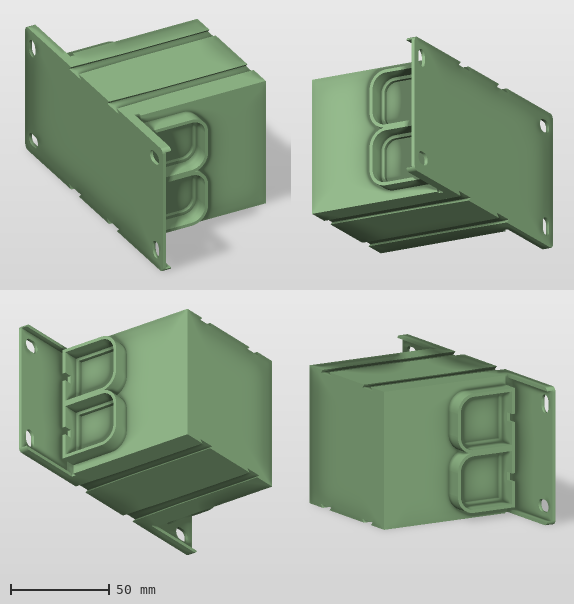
import cadquery as cq

plate_width = 145.0
plate_height = 72.0
plate_thickness = 1.7
plate_corner_radius = 2.5
lip_depth = 5.0
lip_thickness = 1.7

slot_length = 9.5
slot_width = 6.7
slot_side_margin = 3.9
slot_end_margin = 5.2

block_width = plate_height
block_height = plate_height
housing_depth = 80.0
neck_inset = 2.2
neck_end = 7.4
wall = 2.2

collar_projection = 9.1
collar_height = 31.3
collar_pitch = 31.0
collar_start = neck_end
collar_end = 41.5
collar_radius = 9.5
collar_wall = 1.7
window_ledge = 1.7
notch_width = 4.4
notch_depth = collar_projection / 2

groove_spacing = 40.0
groove_taper_start = 29.6
groove_floor_break = 9.1
groove_rear_opening = 6.5
groove_front_opening = 8.1
groove_rear_depth = 1.7
groove_break_depth = 2.0
groove_front_depth = 2.2

core_front = groove_floor_break
core_width = block_width - 2 * wall
core_height = block_height - 2 * wall
core_rear = housing_depth - wall


def box_from(width, height, y_start, y_end):
    """Box centred in X and Z that runs from y_start to y_end."""
    return cq.Workplane("XY").box(width, y_end - y_start, height).translate((0, (y_start + y_end) / 2, 0))


def make_plate():
    plate = box_from(plate_width, plate_height, 0, lip_depth).edges("|Y").fillet(plate_corner_radius)
    recess = box_from(plate_width, plate_height - 2 * lip_thickness, plate_thickness, lip_depth)
    return plate.cut(recess)


def make_block():
    neck = box_from(block_width - 2 * neck_inset, block_height, 0, neck_end)
    return neck.union(box_from(block_width, block_height, neck_end, housing_depth))


def slot_pair(x, z, angle):
    """Two slots through the sheet, placed opposite each other about the plate centre."""
    return (
        cq.Workplane("XZ")
        .pushPoints([(x, z), (-x, -z)])
        .slot2D(slot_length, slot_width, angle)
        .extrude(-plate_thickness)
    )


def mounting_slots():
    """Slots in the four corners: lengthwise on one diagonal, upright on the other."""
    side_x = plate_width / 2 - slot_side_margin
    end_z = plate_height / 2 - slot_end_margin
    lengthwise_x = side_x - slot_length / 2
    lengthwise_z = end_z - slot_width / 2
    upright_x = side_x - slot_width / 2
    upright_z = end_z - slot_length / 2
    lengthwise = slot_pair(lengthwise_x, lengthwise_z, 0)
    upright = slot_pair(-upright_x, upright_z, 90)
    return lengthwise.union(upright)


def collar_prism(inset, x_start, x_end, z_center):
    """Prism along X with the collar outline shrunk by inset, rounded on its two rear edges."""
    depth = collar_end - collar_start - 2 * inset
    y_center = (collar_start + collar_end) / 2
    return (
        cq.Workplane("YZ", origin=(x_start, y_center, z_center))
        .rect(depth, collar_height - 2 * inset)
        .extrude(x_end - x_start)
        .edges("|X and >Y")
        .fillet(collar_radius - inset)
    )


def rim_notch(rim, z_center):
    """Shallow notch in the collar wall that faces the plate, open at the rim."""
    notch = cq.Workplane("XY").box(notch_depth, collar_wall, notch_width)
    return notch.translate((rim - notch_depth / 2, collar_start + collar_wall / 2, z_center))


def add_collars(housing):
    """Two stacked collars on each side, each with a window through the block wall."""
    wall_outside = block_width / 2
    wall_inside = wall_outside - wall
    rim = wall_outside + collar_projection
    window_inset = collar_wall + window_ledge
    z_centers = (-collar_pitch / 2, collar_pitch / 2)
    for z_center in z_centers:
        collar = collar_prism(0, wall_outside, rim, z_center)
        housing = housing.union(collar).union(collar.mirror("YZ"))
    for z_center in z_centers:
        openings = (
            collar_prism(collar_wall, wall_outside, rim, z_center),
            collar_prism(window_inset, wall_inside, wall_outside, z_center),
            rim_notch(rim, z_center),
        )
        for opening in openings:
            housing = housing.cut(opening).cut(opening.mirror("YZ"))
    return housing


def groove_section(x_center, y, opening, depth):
    """Dovetail outline in the upper face of the block."""
    top = block_height / 2
    half_opening = opening / 2
    half_floor = half_opening + depth
    points = [
        (x_center - half_opening, y, top),
        (x_center + half_opening, y, top),
        (x_center + half_floor, y, top - depth),
        (x_center - half_floor, y, top - depth),
    ]
    return cq.Wire.makePolygon([cq.Vector(*point) for point in points], close=True)


def cut_grooves(housing):
    """Straight rear run, then two widening runs whose floors slope down to the plate."""
    break_fraction = groove_floor_break / groove_taper_start
    break_opening = groove_front_opening + break_fraction * (groove_rear_opening - groove_front_opening)
    for x_center in (-groove_spacing / 2, groove_spacing / 2):
        sections = [
            groove_section(x_center, housing_depth, groove_rear_opening, groove_rear_depth),
            groove_section(x_center, groove_taper_start, groove_rear_opening, groove_rear_depth),
            groove_section(x_center, groove_floor_break, break_opening, groove_break_depth),
            groove_section(x_center, 0, groove_front_opening, groove_front_depth),
        ]
        for rear, front in zip(sections, sections[1:]):
            run = cq.Solid.makeLoft([rear, front], True)
            housing = housing.cut(run).cut(run.mirror("XY"))
    return housing


def make_core():
    """Solid block that fills the cavity and shows through the collar windows."""
    return box_from(core_width, core_height, core_front, core_rear)


def make_housing():
    """Plate, block, collars and grooves in one piece, hollowed to take the core."""
    housing = make_plate().union(make_block()).cut(mounting_slots())
    housing = add_collars(housing)
    housing = cut_grooves(housing)
    return housing.cut(make_core())


housing = make_housing()
core = make_core()

result = cq.Compound.makeCompound([housing.val(), core.val()])